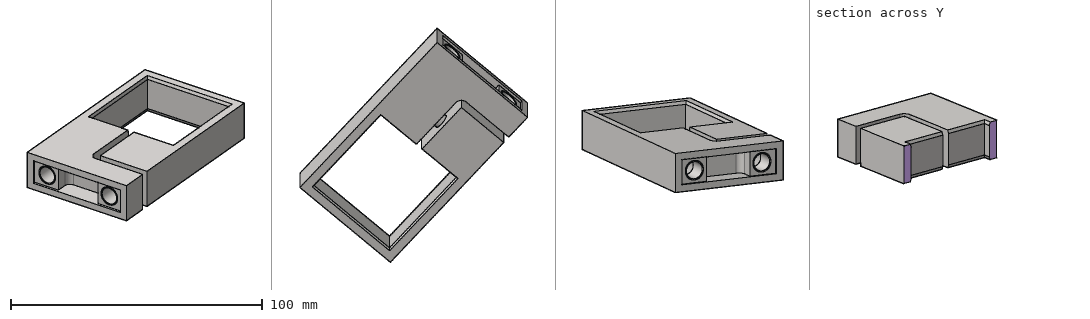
import cadquery as cq
import math

width = 48.0
length = 82.3
height = 16.0
mid_x = width / 2
mid_z = height / 2

wall = 4.0
window_size = width - 2 * wall
window_front = length - wall - window_size
flare = 0.5
flare_angle = 20.0
flare_depth = flare / math.tan(math.radians(flare_angle))
flared_size = window_size + 2 * flare

slot_width = 3.0
slot_length = 27.0
slot_left = mid_x - slot_width / 2
slot_front = window_front - slot_length
slot_right = slot_left + slot_width
slot_back = slot_front + slot_width
slot_end = window_front + wall

screw_diameter = 6.0
screw_setback = 12.0
screw_y = window_front - screw_setback
screw_embed = 1.0

recess_width = 42.0
recess_height = 10.2
recess_depth = 1.0

pocket_width = 19.2
pocket_depth = 8.0
pocket_corner_radius = 2.5

bore_spacing = 30.0
bore_diameter = 7.0
bore_rim_diameter = 8.0
bore_rim_depth = 0.1
bore_depth = 8.0
bore_cone_depth = 2.0


def window_taper(size_below, size_above, z):
    """Square frustum on the window axis, one flare depth tall, with its lower face at z."""
    return (
        cq.Workplane("XY", origin=(mid_x, window_front + window_size / 2, z))
        .rect(size_below, size_below)
        .workplane(offset=flare_depth)
        .rect(size_above, size_above)
        .loft(ruled=True)
    )


def window_cutter():
    """Square through opening that flares outwards at its top and bottom edges."""
    straight = cq.Workplane("XY").box(window_size, window_size, height, centered=(True, False, False))
    straight = straight.translate((mid_x, window_front, 0))
    bottom = window_taper(flared_size, window_size, 0)
    top = window_taper(window_size, flared_size, height - flare_depth)
    return straight.union(bottom).union(top)


def slot_cutter():
    """L-shaped slot from the window to the right side, rounded at its outer corner."""
    return (
        cq.Workplane("XY")
        .moveTo(slot_left, slot_end)
        .lineTo(slot_left, slot_back)
        .radiusArc((slot_right, slot_front), -slot_width)
        .lineTo(width, slot_front)
        .lineTo(width, slot_back)
        .lineTo(slot_right, slot_back)
        .lineTo(slot_right, slot_end)
        .close()
        .extrude(height)
    )


def clamp_screw():
    """Shank across the slot, anchored a little way into both sides."""
    return (
        cq.Workplane("YZ", origin=(slot_left - screw_embed, screw_y, mid_z))
        .circle(screw_diameter / 2)
        .extrude(slot_width + 2 * screw_embed)
    )


def front_box(box_width, depth):
    """Box as tall as the recess, sunk into the front face."""
    return cq.Workplane("XY").box(box_width, depth, recess_height).translate((mid_x, depth / 2, mid_z))


def pocket_cutter():
    """Central pocket whose inner vertical edges are rounded."""
    return front_box(pocket_width, pocket_depth).edges("|Z and >Y").fillet(pocket_corner_radius)


def bore_cutter(x):
    """Revolved blind bore that starts on the recess floor."""
    rim_radius = bore_rim_diameter / 2
    bore_radius = bore_diameter / 2
    rim_end = recess_depth + bore_rim_depth
    bore_end = recess_depth + bore_depth
    return (
        cq.Workplane("XY", origin=(x, 0, mid_z))
        .moveTo(0, recess_depth)
        .lineTo(rim_radius, recess_depth)
        .lineTo(rim_radius, rim_end)
        .lineTo(bore_radius, rim_end)
        .lineTo(bore_radius, bore_end)
        .lineTo(0, bore_end + bore_cone_depth)
        .close()
        .revolve(360, (0, 0, 0), (0, 1, 0))
    )


result = cq.Workplane("XY").box(width, length, height, centered=False)
result = result.cut(window_cutter()).cut(slot_cutter())
result = result.cut(front_box(recess_width, recess_depth)).cut(pocket_cutter())
for side in (-1, 1):
    result = result.cut(bore_cutter(mid_x + side * bore_spacing / 2))
result = result.union(clamp_screw())